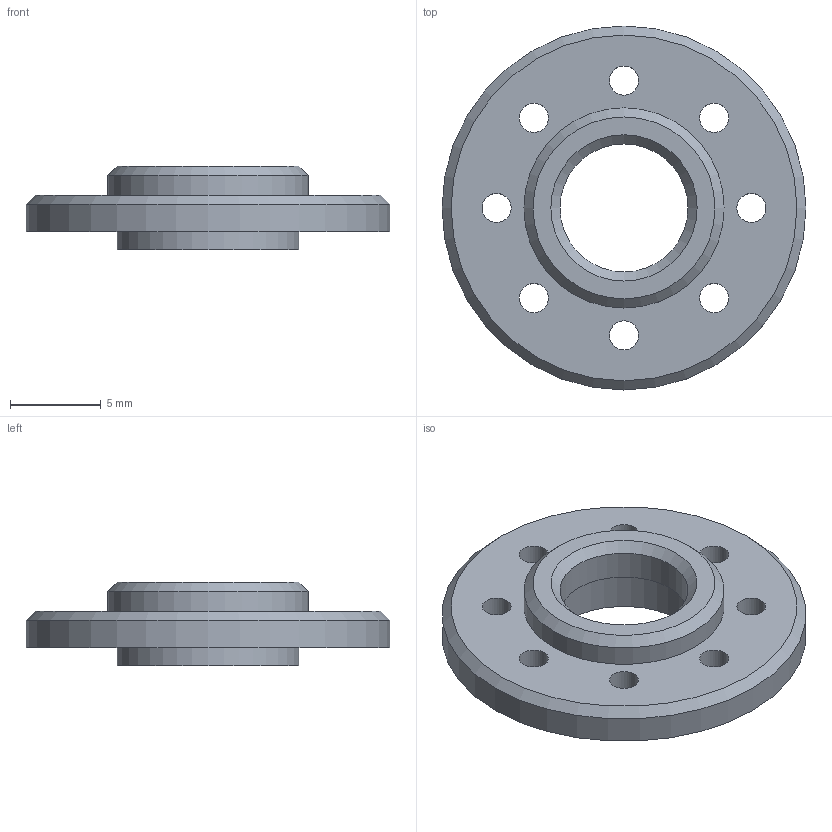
import cadquery as cq

flange_diameter = 20.0
flange_thickness = 2.0
hub_diameter = 11.0
hub_height = 1.6
spigot_diameter = 10.0
spigot_height = 1.0
edge_chamfer = 0.5

bore_diameter = 7.04
counterbore_diameter = 8.5
counterbore_depth = 2.5

hole_count = 8
hole_diameter = 1.6
hole_circle_radius = 7.0

flange_bottom = spigot_height
flange_top = flange_bottom + flange_thickness
total_height = flange_top + hub_height


def disc(diameter, bottom, height):
    """Solid cylinder on the Z axis, starting at the given height."""
    return cq.Workplane("XY").workplane(offset=bottom).circle(diameter / 2).extrude(height)


def chamfered_disc(diameter, bottom, height):
    """Disc with its upper rim chamfered."""
    return disc(diameter, bottom, height).faces(">Z").edges().chamfer(edge_chamfer)


def make_body():
    spigot = disc(spigot_diameter, 0, spigot_height)
    flange = chamfered_disc(flange_diameter, flange_bottom, flange_thickness)
    hub = chamfered_disc(hub_diameter, flange_top, hub_height)
    return spigot.union(flange).union(hub)


def cut_bore(body):
    bored = body.cut(disc(bore_diameter, 0, total_height))
    bore_rim = bored.faces(">Z").edges(cq.selectors.RadiusNthSelector(0))
    bored = bore_rim.chamfer(edge_chamfer)
    return bored.cut(disc(counterbore_diameter, 0, counterbore_depth))


def cut_flange_holes(body):
    holes = (
        cq.Workplane("XY")
        .workplane(offset=flange_bottom)
        .polarArray(hole_circle_radius, 0, 360, hole_count)
        .circle(hole_diameter / 2)
        .extrude(flange_thickness)
    )
    return body.cut(holes)


result = cut_flange_holes(cut_bore(make_body()))